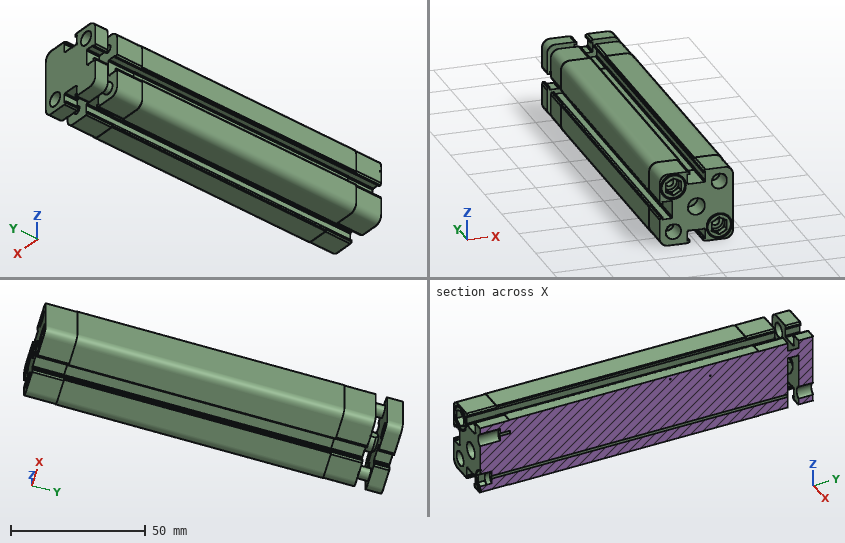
import cadquery as cq
import math

length = 138.5
width = 29.1
plate_length = 6.1
gap_length = 4.5
cap_length = 12.2
body_length = length - plate_length - gap_length - 2 * cap_length

front_y = -length / 2
body_y = front_y + cap_length
rear_cap_y = body_y + body_length
gap_y = rear_cap_y + cap_length
plate_y = gap_y + gap_length

corner_radius = 3.5
cap_recess = 0.1

slot_opening = 5.4
slot_width = 7.0
slot_depth = 5.0
lip_thickness = 1.2
slot_floor_chamfer = 0.4
cap_lip_bevel = 0.8
cap_lip_drop = 0.4
body_lip_bevel = 0.4
body_lip_drop = 0.3
slot_angles = (0, 90, 180)

hole_offset = 9.0
screw_corners = ((-hole_offset, hole_offset), (hole_offset, -hole_offset))
thread_corners = ((hole_offset, hole_offset), (-hole_offset, -hole_offset))
narrow_bore = 3.2
hex_across_flats = 6.0
hex_sides = 6
hex_turn = 180 / hex_sides
hex_depth = 2.8
socket_bore_depth = 4.8
ring_outer = 9.8
ring_inner = 9.1
ring_depth = 0.4
plate_hole = 6.0
thread_diameter = 6.0
thread_depth = 8.3
pilot_depth = 12.5
center_hole = 6.6
center_hole_depth = 8.3

rod_diameter = 8.0
rod_flats = 6.2
rod_flat_length = 3.3
rod_chamfer = 1.1
pin_diameter = 5.0
pin_offset = 9.3
pin_corners = ((pin_offset, pin_offset), (-pin_offset, -pin_offset))


def facing_rear(y):
    """Workplane at y whose local axes are X and Z and whose extrusions run toward +Y."""
    return cq.Workplane(cq.Plane(origin=(0, y, 0), xDir=(1, 0, 0), normal=(0, -1, 0)))


def cylinders(y, depth, diameter, centers):
    """Cylinders from y toward +Y at the given (x, z) centers."""
    return facing_rear(y).pushPoints(centers).circle(diameter / 2).extrude(-depth)


def slot(y, depth, lip_bevel, lip_drop, recess):
    """T-slot cutter for the +Z side of a section set in by the recess."""
    side = width / 2 - recess
    opening = slot_opening / 2
    wall = slot_width / 2
    floor = side - slot_depth
    lip = width / 2 - lip_thickness
    half = [
        (wall - slot_floor_chamfer, floor),
        (wall, floor + slot_floor_chamfer),
        (wall, lip),
        (opening, lip),
        (opening, side - lip_drop),
        (opening + lip_bevel, side),
    ]
    mirrored = [(-x, z) for x, z in reversed(half)]
    return facing_rear(y).polyline(half + mirrored).close().extrude(-depth)


def section(y, depth, lip_bevel, lip_drop, recess=0.0):
    """Length of slotted profile from y toward +Y, its outline set in by the recess."""
    side = width / 2 - recess
    block = facing_rear(y).rect(2 * side, 2 * side).extrude(-depth)
    block = block.edges("|Y").fillet(corner_radius - recess)
    cutter = slot(y, depth, lip_bevel, lip_drop, recess)
    for angle in slot_angles:
        block = block.cut(cutter.rotate((0, 0, 0), (0, 1, 0), -angle))
    return block


def piston_rod():
    """Rod across the gap with a chamfered end and two wrench flats that ramp out to full size."""
    rod = cylinders(gap_y, gap_length, rod_diameter, [(0, 0)]).faces(">Y").chamfer(rod_chamfer)
    ramp = (rod_diameter - rod_flats) / 2
    flat_y = plate_y - rod_flat_length
    for sign in (-1, 1):
        flat = [
            (sign * rod_flats / 2, plate_y),
            (sign * rod_flats / 2, flat_y),
            (sign * rod_diameter / 2, flat_y - ramp),
            (sign * rod_diameter / 2, plate_y),
        ]
        rod = rod.cut(cq.Workplane("XY").polyline(flat).close().extrude(rod_diameter / 2, both=True))
    return rod


result = section(front_y, cap_length, cap_lip_bevel, cap_lip_drop, cap_recess)
result = result.union(section(body_y, body_length, body_lip_bevel, body_lip_drop))
result = result.union(section(rear_cap_y, cap_length, cap_lip_bevel, cap_lip_drop, cap_recess))
result = result.union(section(plate_y, plate_length, cap_lip_bevel, cap_lip_drop, cap_recess))
result = result.union(piston_rod())
result = result.union(cylinders(gap_y, gap_length, pin_diameter, pin_corners))

groove = cylinders(front_y, ring_depth, ring_outer, screw_corners)
groove = groove.cut(cylinders(front_y, ring_depth, ring_inner, screw_corners))
hex_across_corners = hex_across_flats / math.cos(math.pi / hex_sides)
for x, z in screw_corners:
    hexagon = facing_rear(front_y).polygon(hex_sides, hex_across_corners).extrude(-hex_depth)
    hexagon = hexagon.rotate((0, 0, 0), (0, 1, 0), hex_turn).translate((x, 0, z))
    result = result.cut(hexagon)
result = result.cut(groove)
result = result.cut(cylinders(front_y, socket_bore_depth, hex_across_flats, screw_corners))
result = result.cut(cylinders(front_y, length, narrow_bore, screw_corners))
result = result.cut(cylinders(plate_y, plate_length, plate_hole, screw_corners))

result = result.cut(cylinders(front_y, thread_depth, thread_diameter, thread_corners))
result = result.cut(cylinders(front_y, pilot_depth, narrow_bore, thread_corners))
result = result.cut(cylinders(front_y, center_hole_depth, center_hole, [(0, 0)]))